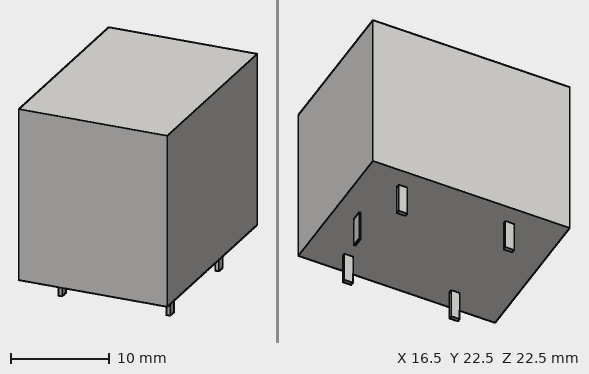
import cadquery as cq

body_width = 16.5
body_length = 22.5
total_height = 22.5
pin_length = 3.5
body_height = total_height - pin_length

side_pin_thickness = 0.4
side_pin_width = 1.0
side_pin_spacing = 12.0
rear_pair_y = 6.75
pair_pitch = 12.2
front_pair_y = rear_pair_y - pair_pitch

centre_pin_width = 1.2
centre_pin_thickness = 0.2
centre_pin_offset = 2.0
centre_pin_y = rear_pair_y + centre_pin_offset


def make_pins(size_x, size_y, places):
    """Rectangular pins that hang from the underside of the housing at z = 0."""
    return (
        cq.Workplane("XY")
        .pushPoints(places)
        .rect(size_x, size_y)
        .extrude(-pin_length)
    )


body = cq.Workplane("XY").box(
    body_width, body_length, body_height, centered=(True, True, False)
)

side_pin_places = [
    (side * side_pin_spacing / 2, y)
    for side in (-1, 1)
    for y in (front_pair_y, rear_pair_y)
]
side_pins = make_pins(side_pin_thickness, side_pin_width, side_pin_places)
centre_pin = make_pins(centre_pin_width, centre_pin_thickness, [(0, centre_pin_y)])

result = body.union(side_pins).union(centre_pin)